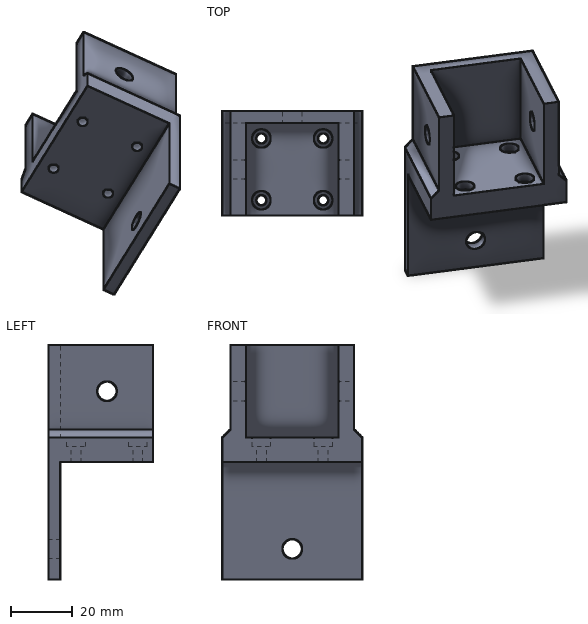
import cadquery as cq

base_width = 45.4
depth = 34.0
height = 76.0

socket_size = 30.0
side_wall = 5.0
floor_thickness = 8.0
back_thickness = depth - socket_size
socket_width = socket_size + 2 * side_wall
ledge = (base_width - socket_width) / 2

floor_level = height - socket_size
underside_level = floor_level - floor_thickness

bolt_diameter = 6.2
plate_hole_level = 9.95
side_hole_from_back = 19.0
side_hole_level = height - socket_size / 2

screw_spacing = 20.0
screw_diameter = 3.2
head_diameter = 6.0
head_depth = 3.0
screw_center_y = socket_size / 2

def make_body():
    """Socket block with sloped ledges at the sides, above a flat mounting plate."""
    half_base = base_width / 2
    half_socket = socket_width / 2
    block = (
        cq.Workplane("XZ")
        .moveTo(-half_base, underside_level)
        .lineTo(half_base, underside_level)
        .lineTo(half_base, floor_level)
        .lineTo(half_socket, floor_level + ledge)
        .lineTo(half_socket, height)
        .lineTo(-half_socket, height)
        .lineTo(-half_socket, floor_level + ledge)
        .lineTo(-half_base, floor_level)
        .close()
        .extrude(-depth)
    )
    plate = (
        cq.Workplane("XY")
        .box(base_width, back_thickness, underside_level, centered=(True, False, False))
        .translate((0, depth - back_thickness, 0))
    )
    socket = (
        cq.Workplane("XY", origin=(0, 0, floor_level))
        .box(socket_size, socket_size, socket_size, centered=(True, False, False))
    )
    return block.union(plate).cut(socket)


def cut_floor_holes(body):
    """Four counterbored holes in a square pattern, sunk from the socket floor."""
    return (
        body.copyWorkplane(cq.Workplane("XY", origin=(0, screw_center_y, floor_level)))
        .rarray(screw_spacing, screw_spacing, 2, 2)
        .cboreHole(screw_diameter, head_diameter, head_depth, floor_thickness)
    )


def cut_cross_holes(body):
    """One hole through both side walls and one through the mounting plate."""
    side_hole = (
        cq.Workplane("YZ")
        .center(depth - side_hole_from_back, side_hole_level)
        .circle(bolt_diameter / 2)
        .extrude(base_width / 2, both=True)
    )
    plate_hole = (
        cq.Workplane("XZ")
        .center(0, plate_hole_level)
        .circle(bolt_diameter / 2)
        .extrude(-depth)
    )
    return body.cut(side_hole).cut(plate_hole)


result = cut_cross_holes(cut_floor_holes(make_body()))